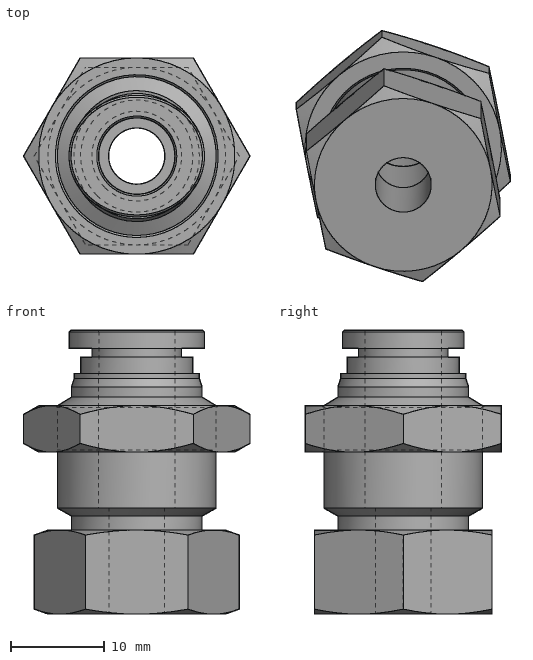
import cadquery as cq
import math


base_hex_top = 9.0
relief_top = 10.5
thread_bottom = 11.35
thread_top = 22.3
shoulder_bottom = 23.23
shoulder_taper_bottom = 24.32
shoulder_taper_top = 25.23
body_top = 25.75
guide_ring_top = 27.5
collar_bottom = 28.42
overall_height = 30.4

base_hex_flats = 19.0
base_hex_chamfer_angle = 20.0
shoulder_diameter = 14.0
rim_diameter = 13.4
thread_diameter = 17.0
passage_diameter = 6.0
tube_socket_diameter = 8.2
tube_socket_floor = thread_bottom

nut_flats = 21.0
nut_height = 5.0
nut_bottom = 17.33
nut_chamfer_angle = 30.0
nut_countersink = 0.2

guide_ring_diameter = 12.0
neck_diameter = 9.6
collar_length_x = 14.5
collar_length_y = 13.0
collar_chamfer = 0.2
sleeve_bore_diameter = 8.15
sleeve_mouth_diameter = 8.57


def chamfered_hexagon(flats, height, chamfer_angle):
    """Hexagon with corners on the X axis, its corners turned conically at both ends."""
    flat_radius = flats / 2
    corner_radius = flat_radius / math.cos(math.pi / 6)
    corner_drop = (corner_radius - flat_radius) * math.tan(math.radians(chamfer_angle))
    prism = cq.Workplane("XY").polygon(6, 2 * corner_radius).extrude(height)
    turned_envelope = (
        cq.Workplane("XZ")
        .polyline([
            (0, 0),
            (flat_radius, 0),
            (corner_radius, corner_drop),
            (corner_radius, height - corner_drop),
            (flat_radius, height),
            (0, height),
        ])
        .close()
        .revolve(360, (0, 0), (0, 1))
    )
    return prism.intersect(turned_envelope)


def cylinder(diameter, bottom, top):
    """Round post on the Z axis between two heights."""
    return cq.Workplane("XY").workplane(offset=bottom).circle(diameter / 2).extrude(top - bottom)


def make_body():
    """Hexagonal base with a threaded barrel, stepped shoulder and tube socket."""
    barrel = (
        cq.Workplane("XZ")
        .polyline([
            (0, base_hex_top),
            (shoulder_diameter / 2, base_hex_top),
            (shoulder_diameter / 2, relief_top),
            (thread_diameter / 2, thread_bottom),
            (thread_diameter / 2, thread_top),
            (shoulder_diameter / 2, shoulder_bottom),
            (shoulder_diameter / 2, shoulder_taper_bottom),
            (rim_diameter / 2, shoulder_taper_top),
            (rim_diameter / 2, body_top),
            (0, body_top),
        ])
        .close()
        .revolve(360, (0, 0), (0, 1))
    )
    base = chamfered_hexagon(base_hex_flats, base_hex_top, base_hex_chamfer_angle)
    passage = cylinder(passage_diameter, 0, body_top)
    tube_socket = cylinder(tube_socket_diameter, tube_socket_floor, body_top)
    return base.union(barrel).cut(passage).cut(tube_socket)


def make_nut():
    """Hexagonal lock nut around the thread, its bore countersunk at both ends."""
    blank = chamfered_hexagon(nut_flats, nut_height, nut_chamfer_angle)
    bore = cylinder(thread_diameter, 0, nut_height)
    nut = blank.cut(bore)
    bore_rims = nut.edges(cq.selectors.RadiusNthSelector(0))
    return bore_rims.chamfer(nut_countersink).translate((0, 0, nut_bottom))


def make_release_sleeve():
    """Push sleeve on top of the body: guide ring, neck and oval collar."""
    collar = (
        cq.Workplane("XY")
        .workplane(offset=collar_bottom)
        .ellipse(collar_length_x / 2, collar_length_y / 2)
        .extrude(overall_height - collar_bottom)
        .faces(">Z")
        .chamfer(collar_chamfer)
    )
    neck = cylinder(neck_diameter, guide_ring_top, collar_bottom)
    guide_ring = cylinder(guide_ring_diameter, body_top, guide_ring_top)
    bore = cylinder(sleeve_bore_diameter, body_top, overall_height)
    sleeve = guide_ring.union(neck).union(collar).cut(bore)
    mouth_chamfer = (sleeve_mouth_diameter - sleeve_bore_diameter) / 2
    bore_mouth = sleeve.faces(">Z").edges(cq.selectors.RadiusNthSelector(0))
    return bore_mouth.chamfer(mouth_chamfer)


body = make_body()
nut = make_nut()
release_sleeve = make_release_sleeve()

result = cq.Compound.makeCompound([body.val(), nut.val(), release_sleeve.val()])